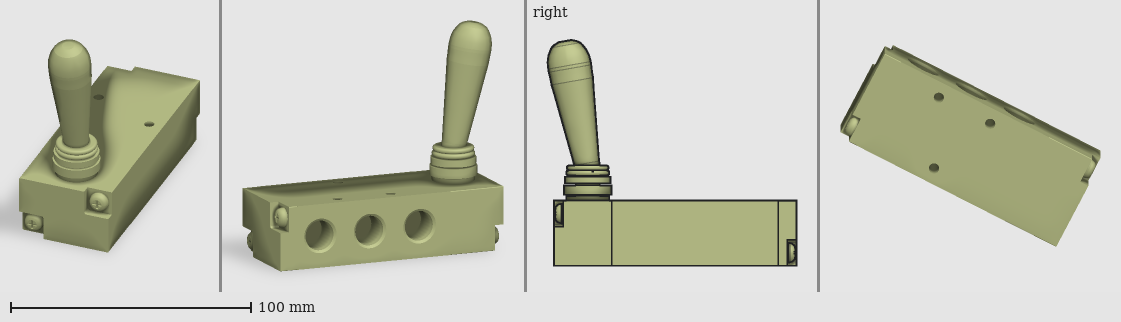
import cadquery as cq
WIDTH = 40.0
HEIGHT = 27.2
TOTAL_LENGTH = 101.0
HEAD_LENGTH = 24.0
CAP_LENGTH = 7.6
BODY_LENGTH = TOTAL_LENGTH - HEAD_LENGTH - CAP_LENGTH
EDGE_RADIUS = 0.3

PORT_PITCH = 22.5
PORT_CENTRE_Y = 60.4
PORT_RADIUS = 6.3
PORT_END_RADIUS = 5.9
PORT_MOUTH_RADIUS = 7.4
PORT_CHAMFER_DEPTH = 0.9
PORT_DEPTH = 12.4
MOUNT_DIAMETER = 4.2
MOUNT_OFFSET_X = 13.8
MOUNT_OFFSET_Y = 12.0

RECESS_SIZE = 10.9
RECESS_DEPTH = 3.8
RECESS_RADIUS = 1.0
SCREW_RADIUS = 4.1
SCREW_FLANGE = 0.6
SCREW_STEP = 1.2
SCREW_DOME_RADIUS = 3.9
SCREW_HEIGHT = 3.2
SCREW_FLAT_RADIUS = 2.2
SCREW_BULGE_RADIUS = 3.3
SCREW_BULGE_HEIGHT = 2.6
CROSS_LENGTH = 4.1
CROSS_WIDTH = 0.9
CROSS_DEPTH = 0.9

COLLAR_Y = 14.1
CORE_RADIUS = 5.1
COLLAR_DISCS = [(9.0, 0.0, 2.0), (10.0, 2.4, 6.3), (9.5, 7.2, 10.0)]
COLLAR_RINGS = [(9.0, 10.4, 12.5), (8.7, 12.5, 14.6)]
COLLAR_HEIGHT = COLLAR_RINGS[-1][2]

LEVER_TILT = 10.0
PIVOT_HEIGHT = 13.2
STEM_RADIUS = 5.3
STEM_DEPTH = 1.6
GRIP_START = 2.5
GRIP_END = 37.1
GRIP_END_RADIUS = 8.8
KNOB_START = 42.5
KNOB_RADIUS = 9.0
DOME_START = 43.8
DOME_END = 52.3
DOME_END_RADIUS = 5.9
DOME_MIDDLE = 48.9
DOME_MIDDLE_RADIUS = 8.1
TIP = 54.0
SHOULDER = 53.4
SHOULDER_RADIUS = 4.4
TIP_RADIUS = 2.5


def block(y_start, length):
    """Full-section block from y_start towards +Y."""
    section = cq.Workplane("XY").box(WIDTH, length, HEIGHT, centered=(True, False, False))
    return section.translate((0, y_start, 0))


def screw_head():
    """Domed cross-recess screw head, standing on Z = 0."""
    head = (
        cq.Workplane("XZ")
        .lineTo(SCREW_RADIUS, 0)
        .lineTo(SCREW_RADIUS, SCREW_FLANGE)
        .lineTo(SCREW_DOME_RADIUS, SCREW_STEP)
        .threePointArc((SCREW_BULGE_RADIUS, SCREW_BULGE_HEIGHT), (SCREW_FLAT_RADIUS, SCREW_HEIGHT))
        .lineTo(0, SCREW_HEIGHT)
        .close()
        .revolve(360, (0, 0), (0, 1))
    )
    for length, width in [(CROSS_LENGTH, CROSS_WIDTH), (CROSS_WIDTH, CROSS_LENGTH)]:
        slot = cq.Workplane("XY").workplane(offset=SCREW_HEIGHT).rect(length, width).extrude(-CROSS_DEPTH)
        head = head.cut(slot)
    return head


def with_corner_screws(part, face_y, inward, corners):
    """Cut a recess at each corner of the end face and set a screw head in it."""
    for side_x, side_z in corners:
        centre_x = side_x * (WIDTH - RECESS_SIZE) / 2
        centre_z = HEIGHT / 2 + side_z * (HEIGHT - RECESS_SIZE) / 2
        floor_y = face_y + inward * RECESS_DEPTH
        size = 2 * RECESS_SIZE
        cutter = (
            cq.Workplane("XY")
            .box(size, RECESS_DEPTH, size)
            .edges("|Y")
            .fillet(RECESS_RADIUS)
            .translate((
                centre_x + side_x * RECESS_SIZE / 2,
                face_y + inward * RECESS_DEPTH / 2,
                centre_z + side_z * RECESS_SIZE / 2,
            ))
        )
        screw = (
            screw_head()
            .rotate((0, 0, 0), (1, 0, 0), 90 * inward)
            .translate((centre_x, floor_y, centre_z))
        )
        part = part.cut(cutter).union(screw)
    return part


def make_collar():
    """Stack of discs and rounded rings around a core, on top of the head."""
    base = cq.Workplane("XY").workplane(offset=HEIGHT)
    collar = base.circle(CORE_RADIUS).extrude(COLLAR_HEIGHT)
    for radius, bottom, top in COLLAR_DISCS:
        collar = collar.union(base.workplane(offset=bottom).circle(radius).extrude(top - bottom))
    for radius, bottom, top in COLLAR_RINGS:
        rim_start = radius - (top - bottom) / 2
        ring = (
            cq.Workplane("XZ")
            .moveTo(0, HEIGHT + bottom)
            .lineTo(rim_start, HEIGHT + bottom)
            .threePointArc((radius, HEIGHT + (bottom + top) / 2), (rim_start, HEIGHT + top))
            .lineTo(0, HEIGHT + top)
            .close()
            .revolve(360, (0, 0), (0, 1))
        )
        collar = collar.union(ring)
    return collar.translate((0, COLLAR_Y, 0))


def make_lever():
    """Tapered grip with a domed knob, tilted towards -Y about the pivot."""
    lever = (
        cq.Workplane("XZ")
        .moveTo(0, -STEM_DEPTH)
        .lineTo(STEM_RADIUS, -STEM_DEPTH)
        .lineTo(STEM_RADIUS, GRIP_START)
        .lineTo(GRIP_END_RADIUS, GRIP_END)
        .lineTo(KNOB_RADIUS, KNOB_START)
        .lineTo(KNOB_RADIUS, DOME_START)
        .threePointArc((DOME_MIDDLE_RADIUS, DOME_MIDDLE), (DOME_END_RADIUS, DOME_END))
        .threePointArc((SHOULDER_RADIUS, SHOULDER), (TIP_RADIUS, TIP))
        .lineTo(0, TIP)
        .close()
        .revolve(360, (0, 0), (0, 1))
    )
    tilted = lever.rotate((0, 0, 0), (1, 0, 0), LEVER_TILT)
    return tilted.translate((0, COLLAR_Y, HEIGHT + PIVOT_HEIGHT))


def make_body():
    """Middle block with three side ports and three vertical mounting holes."""
    body = block(HEAD_LENGTH, BODY_LENGTH)
    for step in (-1, 0, 1):
        port = (
            cq.Workplane("XY")
            .lineTo(PORT_MOUTH_RADIUS, 0)
            .lineTo(PORT_RADIUS, PORT_CHAMFER_DEPTH)
            .lineTo(PORT_END_RADIUS, PORT_DEPTH)
            .lineTo(0, PORT_DEPTH)
            .close()
            .revolve(360, (0, 0), (0, 1))
            .rotate((0, 0, 0), (0, 0, 1), -90)
            .translate((-WIDTH / 2, PORT_CENTRE_Y + step * PORT_PITCH, HEIGHT / 2))
        )
        body = body.cut(port)
    mounts = (
        cq.Workplane("XY")
        .pushPoints([
            (-MOUNT_OFFSET_X, PORT_CENTRE_Y - MOUNT_OFFSET_Y),
            (-MOUNT_OFFSET_X, PORT_CENTRE_Y + MOUNT_OFFSET_Y),
            (MOUNT_OFFSET_X, PORT_CENTRE_Y),
        ])
        .circle(MOUNT_DIAMETER / 2)
        .extrude(HEIGHT)
    )
    return body.cut(mounts)


def make_head(lever):
    """Front block with its two screws and the collar, hollowed for the lever stem."""
    head = block(0, HEAD_LENGTH).edges("|Y").fillet(EDGE_RADIUS)
    head = with_corner_screws(head, 0, 1, [(1, 1), (-1, -1)])
    return head.union(make_collar()).cut(lever)


def make_end_cap():
    """Rear block with its two screws."""
    cap = block(HEAD_LENGTH + BODY_LENGTH, CAP_LENGTH).edges("|Y").fillet(EDGE_RADIUS)
    return with_corner_screws(cap, TOTAL_LENGTH, -1, [(-1, 1), (1, -1)])


lever = make_lever()
head = make_head(lever)
body = make_body()
end_cap = make_end_cap()

result = cq.Compound.makeCompound([body.val(), head.val(), end_cap.val(), lever.val()])